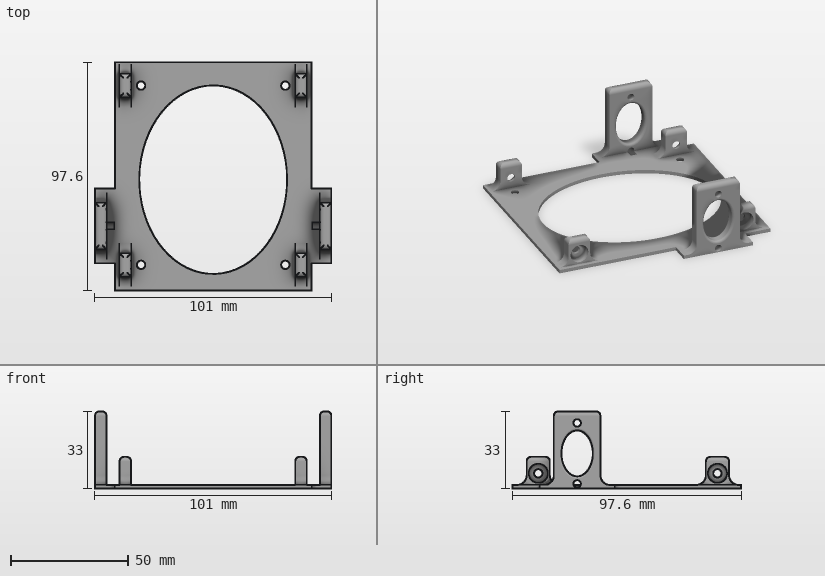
import cadquery as cq

plate_width = 84.0
plate_length = 97.6
plate_thickness = 1.6
plate_front_y = -49.3
window_width = 63.0
window_length = 80.4
window_center_y = -1.9

screw_diameter = 3.5
screw_spacing_x = 61.6
lug_spacing_y = 76.5

upright_thickness = 5.0
crown_radius = 2.0
foot_radius = 4.0

lug_width = 10.0
lug_height = 13.6
lug_outer_x = 40.0
lug_bore_z = 6.5
lug_counterbore_diameter = 8.2
lug_counterbore_depth = 3.8

overall_width = 101.0
tab_length = 32.0
tower_width = 20.0
tower_height = 33.0
tower_center_y = -21.65
opening_width = 13.3
opening_height = 19.5
opening_rim_radius = 1.0
opening_center_z = 15.0
tower_hole_diameter = 3.1
tower_hole_spacing = 26.0
tower_hole_reach = 8.2


def base_plate():
    """Flat plate with two side tabs, an elliptical window and four screw holes."""
    plate = (
        cq.Workplane("XY")
        .box(plate_width, plate_length, plate_thickness, centered=(True, False, False))
        .translate((0, plate_front_y, 0))
    )
    tabs = (
        cq.Workplane("XY")
        .box(overall_width, tab_length, plate_thickness, centered=(True, True, False))
        .translate((0, tower_center_y, 0))
    )
    window = (
        cq.Workplane("XY")
        .center(0, window_center_y)
        .ellipse(window_width / 2, window_length / 2)
        .extrude(plate_thickness)
    )
    screws = (
        cq.Workplane("XY")
        .rarray(screw_spacing_x, lug_spacing_y, 2, 2)
        .circle(screw_diameter / 2)
        .extrude(plate_thickness)
    )
    return plate.union(tabs).cut(window).cut(screws)


def upright(width, height):
    """Block standing on Z = 0 and reaching from X = 0 to +X, with a rounded crown and flared feet."""
    block = (
        cq.Workplane("XY")
        .box(upright_thickness, width, height, centered=(False, True, False))
        .faces(">Z")
        .edges()
        .fillet(crown_radius)
    )
    foot_top = plate_thickness + foot_radius
    foot_end = width / 2 + foot_radius
    feet = (
        cq.Workplane("YZ")
        .moveTo(-foot_end, 0)
        .lineTo(foot_end, 0)
        .lineTo(foot_end, plate_thickness)
        .radiusArc((width / 2, foot_top), foot_radius)
        .lineTo(-width / 2, foot_top)
        .radiusArc((-foot_end, plate_thickness), foot_radius)
        .close()
        .extrude(upright_thickness)
    )
    return block.union(feet)


def bore(diameter, z, depth):
    """Cylinder along +X from X = 0, centred at height z."""
    return cq.Workplane("YZ").center(0, z).circle(diameter / 2).extrude(depth)


def lug():
    """Low upright with a bore counterbored from its outer face at X = 0."""
    body = upright(lug_width, lug_height)
    body = body.cut(bore(screw_diameter, lug_bore_z, upright_thickness))
    return body.cut(bore(lug_counterbore_diameter, lug_bore_z, lug_counterbore_depth))


def tower():
    """Tall upright with an elliptical opening rounded at both rims."""
    opening = (
        cq.Workplane("YZ")
        .center(0, opening_center_z)
        .ellipse(opening_width / 2, opening_height / 2)
        .extrude(upright_thickness)
    )
    body = upright(tower_width, tower_height).cut(opening)
    return body.faces("<X or >X").edges("%ELLIPSE").fillet(opening_rim_radius)


def tower_holes():
    """Hole pair above and below the opening; the lower one runs on as a groove in the plate."""
    low_z = opening_center_z - tower_hole_spacing / 2
    high_z = opening_center_z + tower_hole_spacing / 2
    low = bore(tower_hole_diameter, low_z, tower_hole_reach)
    return low.union(bore(tower_hole_diameter, high_z, tower_hole_reach))


def left_uprights():
    """The two lugs and the tower on the -X side, in place."""
    bodies = [lug().translate((-lug_outer_x, y, 0)) for y in (-lug_spacing_y / 2, lug_spacing_y / 2)]
    bodies.append(tower().translate(left_tower_place))
    return bodies


left_tower_place = (-overall_width / 2, tower_center_y, 0)
left_holes = tower_holes().translate(left_tower_place)

result = base_plate()
for body in left_uprights():
    result = result.union(body).union(body.mirror("YZ"))
result = result.cut(left_holes).cut(left_holes.mirror("YZ"))